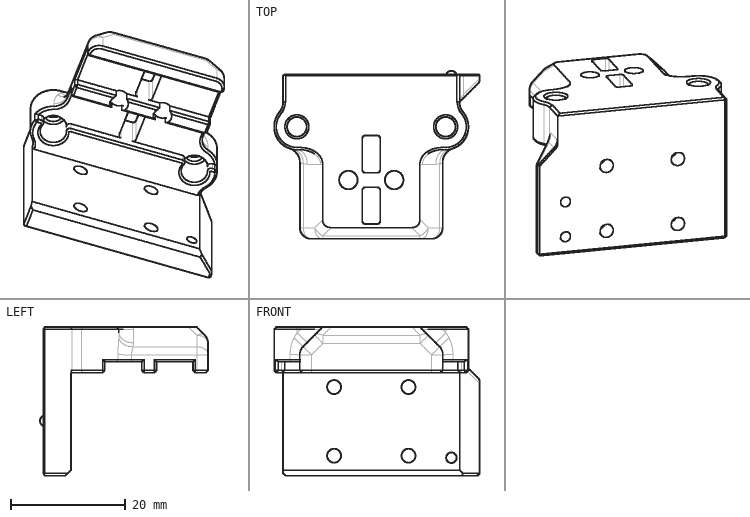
import cadquery as cq
import math


PLATE_HALF_WIDTH = 15.45
PLATE_THICKNESS = 4.85
HEIGHT = 26.0
FOOT_CHAMFER = 1.0
EDGE_CHAMFER = 0.4
SIDE_CHAMFER = 0.5
BACK_CHAMFER = 0.25
PLATE_HOLE_DIAMETER = 2.4
PLATE_HOLE_X = 6.5
PLATE_HOLE_HEIGHTS = (-10.5, -22.5)
PIN_HOLE_DIAMETER = 1.8
PIN_X = 14.0
PIN_HOLE_Z = -22.85
DOME_Z = -16.4
DOME_DIAMETER = 1.8
DOME_HEIGHT = 0.6

GUSSET_TIP_X = 19.0
GUSSET_TOP_Z = -5.7
GUSSET_ROOT_RADIUS = 2.0
GUSSET_EDGE_RADIUS = 1.0

LUG_X = 13.0
LUG_Y = -9.2
LUG_RADIUS = 4.0
LUG_BLEND_RADIUS = 2.5
SCREW_DIAMETER = 3.4
SCREW_MOUTH_DIAMETER = 4.2
INSERT_DIAMETER = 4.6
INSERT_TOP_Z = -1.8
INSERT_MOUTH_RADIUS = 0.6

ARM_HALF_WIDTH = 12.5
ARM_FRONT_Y = -28.8
ARM_THICKNESS = 8.0
ARM_SIDE_BEVEL = 4.0
ARM_FRONT_BEVEL = 2.0
ARM_EDGE_RADIUS = 2.0
ARM_HOLE_DIAMETER = 3.2
ARM_HOLE_X = 4.0
ARM_HOLE_Y = -18.5

CHANNEL_SPANS = ((-17.2, -10.75), (-26.15, -19.8))
CHANNEL_ROOF_Z = -6.1
SLOT_WIDTH = 3.1
SLOT_CORNER_RADIUS = 0.5

NECK_Y = LUG_Y - LUG_RADIUS
SIDES = (-1, 1)
TOLERANCE = 0.01
BIG = 100.0


def block(x_range, y_range, z_range):
    """Box spanning the given (low, high) ranges."""
    return cq.Workplane("XY").box(
        x_range[1] - x_range[0], y_range[1] - y_range[0], z_range[1] - z_range[0], centered=False
    ).translate((x_range[0], y_range[0], z_range[0]))


def vertical_cylinder(x, y, diameter, z_low, z_high):
    return cq.Workplane("XY", origin=(x, y, z_low)).circle(diameter / 2).extrude(z_high - z_low)


def edges_where(solid, test):
    """The edges of the solid whose bounding boxes pass the test."""
    return solid.newObject([edge for edge in solid.edges().vals() if test(edge.BoundingBox())])


def furthest_x(box):
    return max(abs(box.xmin), abs(box.xmax))


def nearest_x(box):
    return min(abs(box.xmin), abs(box.xmax))


def is_upright(box):
    return box.zmax - box.zmin > TOLERANCE and box.ymax - box.ymin < TOLERANCE


def make_arm():
    """Front block with bevelled top sides and front, all its outer upper edges rounded."""
    arm = block((-ARM_HALF_WIDTH, ARM_HALF_WIDTH), (ARM_FRONT_Y, -PLATE_THICKNESS), (-ARM_THICKNESS, 0))
    side_shape = (
        cq.Workplane("XZ")
        .polyline([
            (-ARM_HALF_WIDTH, -ARM_THICKNESS), (ARM_HALF_WIDTH, -ARM_THICKNESS),
            (ARM_HALF_WIDTH, -ARM_SIDE_BEVEL), (ARM_HALF_WIDTH - ARM_SIDE_BEVEL, 0),
            (ARM_SIDE_BEVEL - ARM_HALF_WIDTH, 0), (-ARM_HALF_WIDTH, -ARM_SIDE_BEVEL),
        ])
        .close().extrude(BIG)
    )
    front_shape = (
        cq.Workplane("YZ", origin=(-BIG / 2, 0, 0))
        .polyline([
            (0, 0), (ARM_FRONT_Y + ARM_FRONT_BEVEL, 0), (ARM_FRONT_Y, -ARM_FRONT_BEVEL),
            (ARM_FRONT_Y, -ARM_THICKNESS), (0, -ARM_THICKNESS),
        ])
        .close().extrude(BIG)
    )
    arm = arm.intersect(side_shape).intersect(front_shape)

    def is_rounded(box):
        below_top = box.zmin < -TOLERANCE
        above_base = box.zmax > -ARM_THICKNESS + TOLERANCE
        off_rear = box.ymin < -PLATE_THICKNESS - TOLERANCE
        return below_top and above_base and off_rear

    return edges_where(arm, is_rounded).fillet(ARM_EDGE_RADIUS)


def make_rear_web(side):
    """Fills the corner between the plate side and the lug, leaving a concave blend."""
    radius = LUG_BLEND_RADIUS
    reach = LUG_RADIUS + radius
    centre_x = PLATE_HALF_WIDTH + radius
    centre_y = LUG_Y + math.sqrt(reach ** 2 - (centre_x - LUG_X) ** 2)
    lug_angle = math.atan2(LUG_Y - centre_y, LUG_X - centre_x)
    middle_angle = (lug_angle - math.pi) / 2

    def blend_point(angle):
        return side * (centre_x + radius * math.cos(angle)), centre_y + radius * math.sin(angle)

    return (
        cq.Workplane("XY", origin=(0, 0, -ARM_THICKNESS))
        .moveTo(side * PLATE_HALF_WIDTH, 0)
        .lineTo(side * PLATE_HALF_WIDTH, centre_y)
        .threePointArc(blend_point(middle_angle), blend_point(lug_angle))
        .lineTo(side * LUG_X, LUG_Y)
        .lineTo(side * LUG_X, 0)
        .close().extrude(ARM_THICKNESS)
    )


def make_blended_block():
    """Arm, lugs and the top of the plate in one piece, with the arm blended into the neck."""
    body = make_arm().union(block((-LUG_X, LUG_X), (NECK_Y, 0), (-ARM_THICKNESS, 0)))
    for side in SIDES:
        body = body.union(vertical_cylinder(side * LUG_X, LUG_Y, 2 * LUG_RADIUS, -ARM_THICKNESS, 0))
        body = body.union(make_rear_web(side))

    def is_neck(box):
        in_neck_face = abs(box.ymin - NECK_Y) < TOLERANCE and abs(box.ymax - NECK_Y) < TOLERANCE
        beside_arm = furthest_x(box) < ARM_HALF_WIDTH + TOLERANCE
        return in_neck_face and beside_arm and box.zmax - box.zmin > TOLERANCE

    return edges_where(body.clean(), is_neck).fillet(LUG_BLEND_RADIUS)


def make_neck_bevel():
    """Cutter that bevels the top edge across one neck and fades out on the arm's side bevel.

    The blend meets a level plane in an ellipse, because it runs along the 45 degree side bevel.
    """
    start_y = NECK_Y + EDGE_CHAMFER
    end_y = NECK_Y - LUG_BLEND_RADIUS
    blend_width = LUG_BLEND_RADIUS * math.sqrt(2)
    centre_x = ARM_HALF_WIDTH - ARM_SIDE_BEVEL + EDGE_CHAMFER + blend_width
    curved = (
        cq.Workplane("XY", origin=(centre_x, end_y, -EDGE_CHAMFER))
        .ellipse(blend_width, LUG_BLEND_RADIUS)
        .workplane(offset=EDGE_CHAMFER)
        .ellipse(blend_width + EDGE_CHAMFER, LUG_BLEND_RADIUS + EDGE_CHAMFER)
        .loft(ruled=True)
        .intersect(block((0, centre_x), (end_y, 0), (-EDGE_CHAMFER, 0)))
    )
    straight = (
        cq.Workplane("YZ", origin=(centre_x, 0, 0))
        .polyline([(start_y, 0), (NECK_Y, -EDGE_CHAMFER), (end_y, -EDGE_CHAMFER), (end_y, 0)])
        .close().extrude(LUG_X - centre_x)
    )
    return curved.union(straight)


def bevel_top_outline(body):
    """Bevels the top edge round both lugs and across the necks."""
    middle = block((-LUG_X, LUG_X), (-BIG, BIG), (-BIG, BIG))
    neck_bevel = make_neck_bevel()
    beveled = body.intersect(middle).cut(neck_bevel).cut(neck_bevel.mirror("YZ"))

    def is_lug_outline(box):
        on_top = box.zmin > -TOLERANCE
        off_cut_face = nearest_x(box) > LUG_X - TOLERANCE and box.xmax - box.xmin > TOLERANCE
        off_back = box.ymax < -TOLERANCE
        return on_top and off_cut_face and off_back

    return beveled.union(edges_where(body.cut(middle), is_lug_outline).chamfer(EDGE_CHAMFER)).clean()


def cut_channels_and_bores(body):
    """Cross channels and the insert bores, the bores rounded where they meet a channel."""
    for front_y, rear_y in CHANNEL_SPANS:
        body = body.cut(block((-BIG, BIG), (front_y, rear_y), (-BIG, CHANNEL_ROOF_Z)))
    for side in SIDES:
        body = body.cut(vertical_cylinder(
            side * LUG_X, LUG_Y, INSERT_DIAMETER, -ARM_THICKNESS, INSERT_TOP_Z))

    wall_y = CHANNEL_SPANS[0][1]

    def is_bore_mouth(box):
        in_channel = is_upright(box) and box.zmax < CHANNEL_ROOF_Z + TOLERANCE
        on_wall = abs(box.ymin - wall_y) < TOLERANCE
        on_bore = abs(abs(box.xmin) - LUG_X) < INSERT_DIAMETER / 2
        return in_channel and on_wall and on_bore

    return edges_where(body, is_bore_mouth).fillet(INSERT_MOUTH_RADIUS)


def break_underside_edges(body):
    """Chamfers every bottom edge of the arm and the open ends of the channels."""
    clear_of_bore = LUG_X + INSERT_DIAMETER / 2 + INSERT_MOUTH_RADIUS

    def is_bottom(box):
        return box.zmax < -ARM_THICKNESS + TOLERANCE and box.ymax < -PLATE_THICKNESS - TOLERANCE

    def is_channel_corner(box):
        on_arm_side = abs(furthest_x(box) - ARM_HALF_WIDTH) < TOLERANCE
        on_lug_side = furthest_x(box) > clear_of_bore
        on_wall = any(abs(box.ymin - wall_y) < TOLERANCE for span in CHANNEL_SPANS for wall_y in span)
        below_roof = box.zmax < CHANNEL_ROOF_Z + TOLERANCE
        return is_upright(box) and on_wall and below_roof and (on_arm_side or on_lug_side)

    def is_roof_end(box):
        level = abs(box.zmin - CHANNEL_ROOF_Z) < TOLERANCE and abs(box.zmax - CHANNEL_ROOF_Z) < TOLERANCE
        outside = furthest_x(box) > ARM_HALF_WIDTH - TOLERANCE
        along_y = box.ymax - box.ymin > TOLERANCE
        within_channel = any(
            box.ymin > front_y - TOLERANCE and box.ymax < rear_y + TOLERANCE
            for front_y, rear_y in CHANNEL_SPANS)
        return level and outside and along_y and within_channel

    def is_broken(box):
        return is_bottom(box) or is_channel_corner(box) or is_roof_end(box)

    return edges_where(body, is_broken).chamfer(EDGE_CHAMFER)


def cut_top_openings(body):
    """Slots, arm holes and screw holes opening in the top face."""
    for front_y, rear_y in CHANNEL_SPANS:
        slot = block((-SLOT_WIDTH / 2, SLOT_WIDTH / 2), (front_y, rear_y), (CHANNEL_ROOF_Z, 0))
        body = body.cut(slot.edges("|Z").fillet(SLOT_CORNER_RADIUS))
    mouth_depth = (SCREW_MOUTH_DIAMETER - SCREW_DIAMETER) / 2
    for side in SIDES:
        body = body.cut(vertical_cylinder(
            side * ARM_HOLE_X, ARM_HOLE_Y, ARM_HOLE_DIAMETER, -ARM_THICKNESS, 0))
        screw = vertical_cylinder(side * LUG_X, LUG_Y, SCREW_DIAMETER, INSERT_TOP_Z, 0)
        mouth = cq.Workplane(cq.Solid.makeCone(
            SCREW_DIAMETER / 2, SCREW_MOUTH_DIAMETER / 2, mouth_depth,
            cq.Vector(side * LUG_X, LUG_Y, -mouth_depth)))
        body = body.cut(screw).cut(mouth)
    return body


def make_gusset():
    """Triangular rib on the +X side: sloped on top, tapering to a narrow tip."""
    reach = GUSSET_TIP_X - PLATE_HALF_WIDTH
    root_angle = math.radians(45)
    tangent = GUSSET_ROOT_RADIUS * math.tan(root_angle / 2)
    mid_x = GUSSET_ROOT_RADIUS * (1 - math.cos(root_angle / 2))
    mid_z = tangent - GUSSET_ROOT_RADIUS * math.sin(root_angle / 2)
    slope_start = tangent * math.cos(root_angle)
    profile = (
        cq.Workplane("XZ", origin=(PLATE_HALF_WIDTH, 0, GUSSET_TOP_Z))
        .moveTo(0, tangent)
        .threePointArc((mid_x, mid_z), (slope_start, -slope_start))
        .lineTo(reach, -reach)
        .lineTo(reach, -HEIGHT - GUSSET_TOP_Z)
        .lineTo(0, -HEIGHT - GUSSET_TOP_Z)
        .close().extrude(PLATE_THICKNESS)
    )
    plan = (
        cq.Workplane("XY", origin=(PLATE_HALF_WIDTH, 0, -HEIGHT))
        .polyline([(0, 0), (reach, 0), (reach, reach - PLATE_THICKNESS), (0, -PLATE_THICKNESS)])
        .close().extrude(HEIGHT)
    )
    gusset = profile.intersect(plan)

    def is_free(box):
        return box.xmax > PLATE_HALF_WIDTH + TOLERANCE

    def on_bottom(box):
        return box.zmax < -HEIGHT + TOLERANCE

    def on_back(box):
        return box.ymin > -TOLERANCE

    gusset = edges_where(
        gusset, lambda box: is_free(box) and not on_back(box) and not on_bottom(box)
    ).fillet(GUSSET_EDGE_RADIUS)
    gusset = edges_where(
        gusset, lambda box: is_free(box) and on_back(box) and not on_bottom(box)
    ).chamfer(BACK_CHAMFER)
    return edges_where(
        gusset, lambda box: is_free(box) and on_bottom(box) and not on_back(box)
    ).chamfer(EDGE_CHAMFER)


def make_plate():
    """Upright plate with its sides bevelled at the top, and at the bottom away from the gusset."""
    return (
        cq.Workplane("XZ")
        .polyline([
            (PLATE_HALF_WIDTH, -HEIGHT), (PLATE_HALF_WIDTH, -EDGE_CHAMFER),
            (PLATE_HALF_WIDTH - SIDE_CHAMFER, 0), (SIDE_CHAMFER - PLATE_HALF_WIDTH, 0),
            (-PLATE_HALF_WIDTH, -EDGE_CHAMFER), (-PLATE_HALF_WIDTH, EDGE_CHAMFER - HEIGHT),
            (SIDE_CHAMFER - PLATE_HALF_WIDTH, -HEIGHT),
        ])
        .close().extrude(PLATE_THICKNESS)
    )


def make_side_envelope():
    """Side outline of the whole part: breaks the back edges and the plate's front bottom edge."""
    return (
        cq.Workplane("YZ", origin=(-BIG / 2, 0, 0))
        .polyline([
            (-BACK_CHAMFER, 0), (0, -EDGE_CHAMFER), (0, EDGE_CHAMFER - HEIGHT), (-BACK_CHAMFER, -HEIGHT),
            (FOOT_CHAMFER - PLATE_THICKNESS, -HEIGHT), (-PLATE_THICKNESS, FOOT_CHAMFER - HEIGHT),
            (-PLATE_THICKNESS, -ARM_THICKNESS), (ARM_FRONT_Y, -ARM_THICKNESS), (ARM_FRONT_Y, 0),
        ])
        .close().extrude(BIG)
    )


def make_back_corner():
    """Cutter for the upright back edge on the -X side of the plate."""
    return (
        cq.Workplane("XY", origin=(-PLATE_HALF_WIDTH, 0, -HEIGHT))
        .polyline([(0, 0), (EDGE_CHAMFER, 0), (0, -BACK_CHAMFER)])
        .close().extrude(HEIGHT)
    )


def make_dome():
    """Low round bump on the back face, above the pin hole, with a root inside the plate."""
    base_radius = DOME_DIAMETER / 2
    radius = (base_radius ** 2 + DOME_HEIGHT ** 2) / (2 * DOME_HEIGHT)
    return cq.Workplane("XY", origin=(PIN_X, DOME_HEIGHT - radius, DOME_Z)).sphere(radius)


def drill_plate(body):
    """Four screw holes and the pin hole through the plate."""
    holes = [(side * PLATE_HOLE_X, z, PLATE_HOLE_DIAMETER) for side in SIDES for z in PLATE_HOLE_HEIGHTS]
    holes.append((PIN_X, PIN_HOLE_Z, PIN_HOLE_DIAMETER))
    for x, z, diameter in holes:
        body = body.cut(cq.Workplane("XZ", origin=(x, 0, z)).circle(diameter / 2).extrude(PLATE_THICKNESS))
    return body


def make_part():
    arm = make_blended_block()
    arm = bevel_top_outline(arm)
    arm = cut_channels_and_bores(arm)
    arm = break_underside_edges(arm)
    arm = cut_top_openings(arm)
    arm = arm.cut(block((-BIG, BIG), (-PLATE_THICKNESS, 0), (-BIG, 0)))
    part = arm.union(make_plate()).union(make_gusset())
    part = part.intersect(make_side_envelope()).cut(make_back_corner())
    return drill_plate(part).union(make_dome()).clean()


result = make_part()